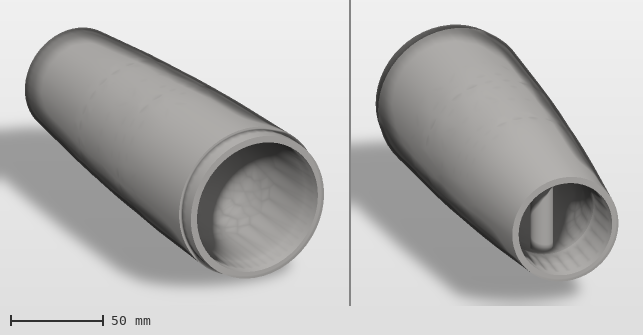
import cadquery as cq

total_length = 210.0
collar_length = 10.0
body_length = total_length - collar_length

mouth_radius = 30.0
body_mid_radius = 38.6
body_end_radius = 42.52
collar_radius = 40.7

socket_mouth_radius = 26.5
socket_inner_radius = 25.5
socket_depth = 30.0
cavity_mid_radius = 33.2
cavity_end_radius = 37.0

bar_radius = 6.0
bar_x = 42.0


def make_shell():
    """Revolve the wall between the curved outside and the bore about X."""
    cavity_mid_x = (socket_depth + total_length) / 2
    return (
        cq.Workplane("XY")
        .moveTo(0, socket_mouth_radius)
        .lineTo(0, mouth_radius)
        .threePointArc((body_length / 2, body_mid_radius), (body_length, body_end_radius))
        .lineTo(body_length, collar_radius)
        .lineTo(total_length, collar_radius)
        .lineTo(total_length, cavity_end_radius)
        .threePointArc((cavity_mid_x, cavity_mid_radius), (socket_depth, socket_inner_radius))
        .close()
        .revolve(360, (0, 0, 0), (1, 0, 0))
    )


def make_bar():
    """Vertical bar whose ends are buried in the wall."""
    half_height = (socket_inner_radius + mouth_radius) / 2
    return (
        cq.Workplane("XY", origin=(bar_x, 0, -half_height))
        .circle(bar_radius)
        .extrude(2 * half_height)
    )


result = make_shell().union(make_bar())